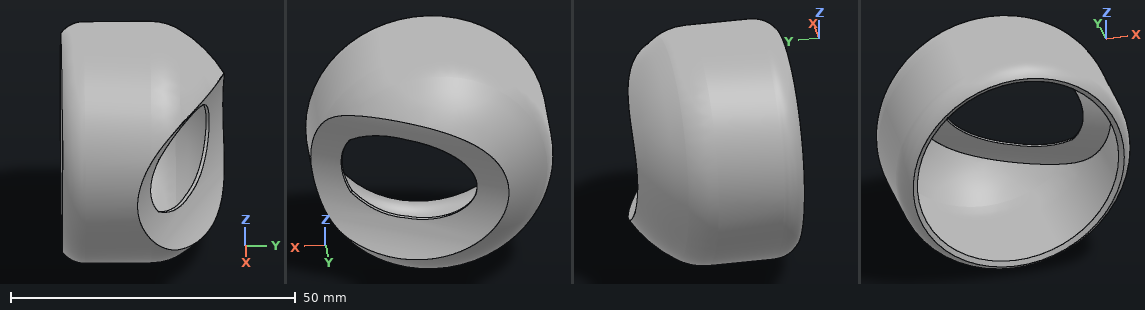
import cadquery as cq
import math

outer_radius = 21.25
shell_wall = 0.9
rim_round_radius = 5.0
rim_outer_radius = 19.25
rim_inner_radius = 18.35
barrel_start = 4.0
barrel_end = 15.65
shoulder_radius = 10.0
dome_radius = 23.1

saddle_radius = 20.9
saddle_wall = 0.6
saddle_tilt = 24.72
saddle_distance = 20.81
saddle_length = 120.0

window_centre = -4.46
window_half_length = 12.62
window_half_width = 8.07
window_corner = (10.6, 5.4)
window_flank = (6.2, 7.5)
window_margin = 2.0
window_cut_depth = 10.0

shoulder_centre_radius = outer_radius - shoulder_radius
dome_to_shoulder = dome_radius - shoulder_radius
dome_centre = barrel_end - math.sqrt(dome_to_shoulder**2 - shoulder_centre_radius**2)
dome_angle = math.acos(shoulder_centre_radius / dome_to_shoulder)

rim_centre_radius = outer_radius - rim_round_radius

tilt = math.radians(saddle_tilt)
saddle_axis = cq.Vector(math.cos(tilt), -math.sin(tilt), 0)
saddle_normal = cq.Vector(math.sin(tilt), math.cos(tilt), 0)


def polar(centre_x, centre_y, radius, angle):
    """Point on a circle in the X-Y plane."""
    return (centre_x + radius * math.cos(angle), centre_y + radius * math.sin(angle))


def domed_solid(inset, rim_radius):
    """Solid bounded by the outer surface moved inward by inset, cut off flat at the rim radius."""
    rim_round = rim_round_radius - inset
    shoulder = shoulder_radius - inset
    dome = dome_radius - inset
    radius = outer_radius - inset

    rim_angle = math.acos((rim_radius - rim_centre_radius) / rim_round)
    rim_start = polar(rim_centre_radius, barrel_start, rim_round, -rim_angle)
    rim_middle = polar(rim_centre_radius, barrel_start, rim_round, -rim_angle / 2)
    shoulder_middle = polar(shoulder_centre_radius, barrel_end, shoulder, dome_angle / 2)
    shoulder_end = polar(shoulder_centre_radius, barrel_end, shoulder, dome_angle)
    dome_middle = polar(0, dome_centre, dome, (dome_angle + math.pi / 2) / 2)

    profile = (
        cq.Workplane("XY")
        .moveTo(0, rim_start[1])
        .lineTo(*rim_start)
        .threePointArc(rim_middle, (radius, barrel_start))
        .lineTo(radius, barrel_end)
        .threePointArc(shoulder_middle, shoulder_end)
        .threePointArc(dome_middle, (0, dome_centre + dome))
        .close()
    )
    return profile.revolve(360, (0, 0, 0), (0, 1, 0))


def rim_bevel():
    """Conical plug that joins the flat end of the cavity to the outer edge of the rim."""
    inner_round = rim_round_radius - shell_wall
    inner_edge_y = barrel_start - math.sqrt(inner_round**2 - (rim_inner_radius - rim_centre_radius)**2)
    profile = (
        cq.Workplane("XY")
        .lineTo(rim_outer_radius, 0)
        .lineTo(rim_inner_radius, inner_edge_y)
        .lineTo(0, inner_edge_y)
        .close()
    )
    return profile.revolve(360, (0, 0, 0), (0, 1, 0))


def saddle_cylinder(radius):
    """Cylinder around the saddle axis."""
    centre = saddle_normal * (saddle_distance + saddle_radius) - saddle_axis * (saddle_length / 2)
    return cq.Workplane(obj=cq.Solid.makeCylinder(radius, saddle_length, centre, saddle_axis))


def window_cutter():
    """Egg-shaped prism square to the saddle: half an ellipse on one end, blunt arcs on the other."""
    corner_along, corner_across = window_corner
    flank_along, flank_across = window_flank
    lowest = saddle_distance - saddle_wall - window_margin
    plane = cq.Plane(
        origin=saddle_axis * window_centre + saddle_normal * lowest,
        xDir=saddle_axis,
        normal=saddle_normal,
    )
    outline = (
        cq.Workplane(plane)
        .moveTo(0, window_half_width)
        .ellipseArc(window_half_length, window_half_width, 90, 270)
        .threePointArc((flank_along, -flank_across), (corner_along, -corner_across))
        .threePointArc((window_half_length, 0), (corner_along, corner_across))
        .threePointArc((flank_along, flank_across), (0, window_half_width))
        .close()
    )
    return outline.extrude(window_cut_depth)


body = domed_solid(0, rim_outer_radius).cut(saddle_cylinder(saddle_radius))
cavity = domed_solid(shell_wall, rim_inner_radius).cut(saddle_cylinder(saddle_radius + saddle_wall))
result = body.cut(cavity).cut(rim_bevel()).cut(window_cutter())